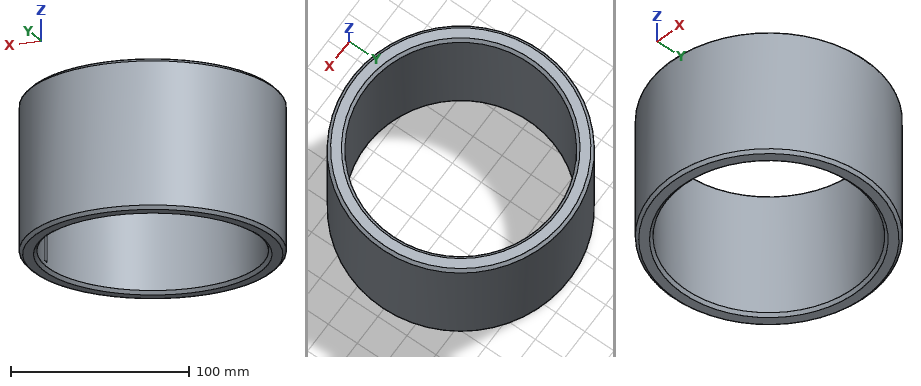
import cadquery as cq

outer_diameter = 150.0
bore_diameter = 130.0
height = 90.0
edge_chamfer = 2.0

groove_radius = 1.5
groove_end_margin = 5.0
groove_length = height - 2 * groove_end_margin

sleeve = (
    cq.Workplane("XY")
    .circle(outer_diameter / 2)
    .circle(bore_diameter / 2)
    .extrude(height)
)

sleeve = sleeve.faces("<Z or >Z").edges().chamfer(edge_chamfer)

groove = (
    cq.Workplane("XY", origin=(bore_diameter / 2, 0, groove_end_margin))
    .circle(groove_radius)
    .extrude(groove_length)
)

result = sleeve.cut(groove)